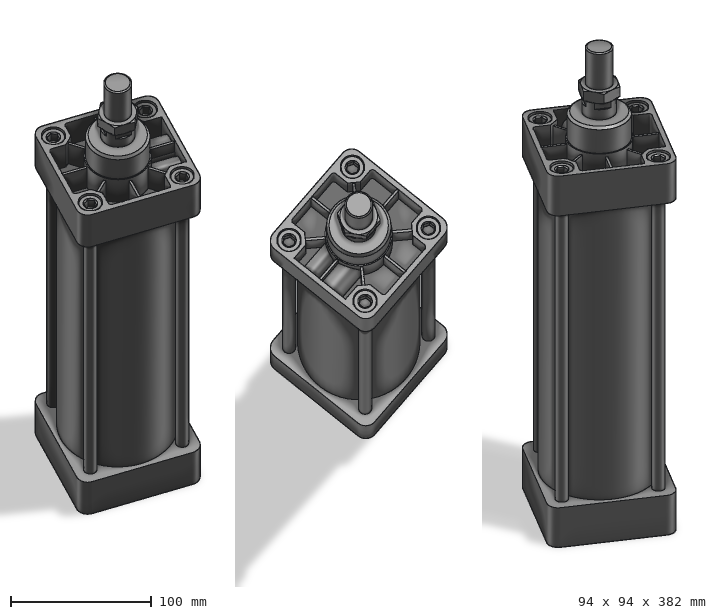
import cadquery as cq
import math

TOTAL_LENGTH = 382.0
HEAD_SIZE = 94.0
HEAD_HEIGHT = 33.0
HEAD_CORNER_RADIUS = 8.5
FRONT_HEAD_TOP = 307.0
FRONT_HEAD_BOTTOM = FRONT_HEAD_TOP - HEAD_HEIGHT

BARREL_DIAMETER = 87.0
TIE_ROD_DIAMETER = 9.5
TIE_ROD_OFFSET = 35.0

COUNTERBORE_DIAMETER = 17.0
SCREW_HEAD_DIAMETER = 16.0
SCREW_HEAD_SINK = 1.5
COUNTERBORE_DEPTH = 11.5
SOCKET_ACROSS_FLATS = 8.0
SOCKET_DEPTH = 7.5
SOCKET_MOUTH_DIAMETER = 10.5

POCKET_WALL = 4.0
POCKET_DEPTH = 23.0
POCKET_CORNER_RADIUS = 2.3
CORNER_PAD_REACH = 11.5
CORNER_PAD_CHAMFER = 6.5
RIB_THICKNESS = 2.0
RIB_SINK = 2.5
POCKET_HALF = HEAD_SIZE / 2 - POCKET_WALL
POCKET_FLOOR = FRONT_HEAD_TOP - POCKET_DEPTH

PORT_BOSS_DIAMETER = 20.0
PORT_BOSS_X = -8.0
CUSHION_BOSS_DIAMETER = 13.5
CUSHION_BOSS_X = 10.5
PORT_Z = FRONT_HEAD_TOP - HEAD_HEIGHT / 2

HUB_DIAMETER = 47.8
COLLAR_DIAMETER = 46.0
COLLAR_TOP = 328.5
COLLAR_CHAMFER = 2.0

ROD_DIAMETER = 25.0
ROD_FLATS_BOTTOM = 337.0
ROD_FLATS_WIDTH = 21.8
THREAD_DIAMETER = 20.0
TIP_CHAMFER_HEIGHT = 0.8
TIP_CHAMFER_WIDTH = 1.0
NUT_BOTTOM = 342.5
NUT_HEIGHT = 9.0
NUT_ACROSS_FLATS = 26.7
NUT_CHAMFER_ANGLE = 20

CORNERS = [(sx * TIE_ROD_OFFSET, sy * TIE_ROD_OFFSET) for sx in (-1, 1) for sy in (-1, 1)]


def cylinder(diameter, bottom, top):
    return cq.Workplane().workplane(offset=bottom).circle(diameter / 2).extrude(top - bottom)


def corner_cylinders(diameter, bottom, top):
    """Four equal cylinders on the tie rod axes."""
    return (cq.Workplane().workplane(offset=bottom).pushPoints(CORNERS)
            .circle(diameter / 2).extrude(top - bottom))


def corner_circle(across_flats):
    """Diameter of the circle through the corners of a hexagon with this width across flats."""
    return across_flats / math.cos(math.pi / 6)


def head(bottom):
    return (cq.Workplane().workplane(offset=bottom).rect(HEAD_SIZE, HEAD_SIZE)
            .extrude(HEAD_HEIGHT).edges("|Z").fillet(HEAD_CORNER_RADIUS))


def corner_pads():
    """Square solid corners left standing in the pocket, chamfered towards the hub."""
    inner = TIE_ROD_OFFSET - CORNER_PAD_REACH
    outer = HEAD_SIZE / 2
    pad = (cq.Workplane().workplane(offset=POCKET_FLOOR)
           .polyline([(inner + CORNER_PAD_CHAMFER, inner), (outer, inner), (outer, outer),
                      (inner, outer), (inner, inner + CORNER_PAD_CHAMFER)])
           .close().extrude(POCKET_DEPTH))
    pads = pad
    for angle in (90, 180, 270):
        pads = pads.add(pad.rotate((0, 0, 0), (0, 0, 1), angle))
    return pads.combine()


def pocket_space():
    """Cross-shaped recess, with rounded corners except beside the port wall on +Y."""
    space = (cq.Workplane().workplane(offset=POCKET_FLOOR)
             .rect(2 * POCKET_HALF, 2 * POCKET_HALF).extrude(POCKET_DEPTH))
    space = space.cut(corner_pads())
    side_corners = space.faces("<X or >X").edges("|Z")
    front_corners = space.faces("<Y").edges("|Z")
    return space.newObject(side_corners.vals() + front_corners.vals()).fillet(POCKET_CORNER_RADIUS)


def ribs():
    """Eight thin ribs that radiate from the hub."""
    length = 2 * POCKET_HALF
    diagonal_length = 2 * math.hypot(TIE_ROD_OFFSET, TIE_ROD_OFFSET)
    height = POCKET_DEPTH - RIB_SINK
    star = cq.Workplane()
    for angle in range(0, 180, 45):
        span = length if angle % 90 == 0 else diagonal_length
        bar = (cq.Workplane().workplane(offset=POCKET_FLOOR)
               .rect(span, RIB_THICKNESS).extrude(height)
               .rotate((0, 0, 0), (0, 0, 1), angle))
        star = star.union(bar)
    return star


def y_boss(diameter, x):
    """Round boss along +Y from the hub axis to the wall of the pocket."""
    return (cq.Workplane("XZ").center(x, PORT_Z).circle(diameter / 2).extrude(-POCKET_HALF))


def collar():
    body = cylinder(COLLAR_DIAMETER, FRONT_HEAD_TOP, COLLAR_TOP)
    return body.faces(">Z").chamfer(COLLAR_CHAMFER)


def tie_screws():
    """Screw heads with hexagon sockets, sunk in the counterbores."""
    top = FRONT_HEAD_TOP - SCREW_HEAD_SINK
    heads = corner_cylinders(SCREW_HEAD_DIAMETER, FRONT_HEAD_TOP - COUNTERBORE_DEPTH, top)
    socket = (cq.Workplane().workplane(offset=top - SOCKET_DEPTH)
              .polygon(6, corner_circle(SOCKET_ACROSS_FLATS)).extrude(SOCKET_DEPTH))
    mouth_depth = (SOCKET_MOUTH_DIAMETER - SOCKET_ACROSS_FLATS) / 2
    mouth = cq.Workplane(cq.Solid.makeCone(
        SOCKET_ACROSS_FLATS / 2, SOCKET_MOUTH_DIAMETER / 2, mouth_depth,
        cq.Vector(0, 0, top - mouth_depth)))
    for x, y in CORNERS:
        heads = heads.cut(socket.translate((x, y, 0))).cut(mouth.translate((x, y, 0)))
    return heads


def make_front_head():
    hollow = (pocket_space().cut(ribs())
              .cut(y_boss(PORT_BOSS_DIAMETER, PORT_BOSS_X))
              .cut(y_boss(CUSHION_BOSS_DIAMETER, CUSHION_BOSS_X))
              .cut(cylinder(HUB_DIAMETER, POCKET_FLOOR, FRONT_HEAD_TOP)))
    counterbores = corner_cylinders(
        COUNTERBORE_DIAMETER, FRONT_HEAD_TOP - COUNTERBORE_DEPTH, FRONT_HEAD_TOP)
    return head(FRONT_HEAD_BOTTOM).cut(hollow).union(collar()).cut(counterbores).union(tie_screws())


def make_housing():
    """Both heads, the barrel and the tie rods, bored for the rod through the front head."""
    barrel = cylinder(BARREL_DIAMETER, HEAD_HEIGHT, FRONT_HEAD_BOTTOM)
    tie_rods = corner_cylinders(TIE_ROD_DIAMETER, HEAD_HEIGHT, FRONT_HEAD_BOTTOM)
    rod_bore = cylinder(ROD_DIAMETER, FRONT_HEAD_BOTTOM, COLLAR_TOP)
    return head(0).union(barrel).union(tie_rods).union(make_front_head()).cut(rod_bore)


def nut_shape():
    """Hexagon with two flats facing X and conical chamfers on both ends."""
    corner_diameter = corner_circle(NUT_ACROSS_FLATS)
    chamfer_width = (corner_diameter - NUT_ACROSS_FLATS) / 2
    chamfer_height = chamfer_width * math.tan(math.radians(NUT_CHAMFER_ANGLE))
    prism = (cq.Workplane().workplane(offset=NUT_BOTTOM).polygon(6, corner_diameter)
             .extrude(NUT_HEIGHT).rotate((0, 0, 0), (0, 0, 1), 30))
    envelope = (cylinder(corner_diameter, NUT_BOTTOM, NUT_BOTTOM + NUT_HEIGHT)
                .faces("<Z or >Z").edges().chamfer(chamfer_height, chamfer_width))
    return prism.intersect(envelope)


def make_rod():
    """Rod with four wrench flats, a threaded end and its nut."""
    shank = cylinder(ROD_DIAMETER, FRONT_HEAD_BOTTOM, ROD_FLATS_BOTTOM)
    flats = (cylinder(ROD_DIAMETER, ROD_FLATS_BOTTOM, NUT_BOTTOM)
             .intersect(cq.Workplane().workplane(offset=ROD_FLATS_BOTTOM)
                        .rect(ROD_FLATS_WIDTH, ROD_FLATS_WIDTH)
                        .extrude(NUT_BOTTOM - ROD_FLATS_BOTTOM)))
    thread = (cylinder(THREAD_DIAMETER, NUT_BOTTOM, TOTAL_LENGTH)
              .faces(">Z").chamfer(TIP_CHAMFER_HEIGHT, TIP_CHAMFER_WIDTH))
    return shank.union(flats).union(thread).union(nut_shape())


housing = make_housing()
rod = make_rod()
result = cq.Compound.makeCompound([housing.val(), rod.val()])